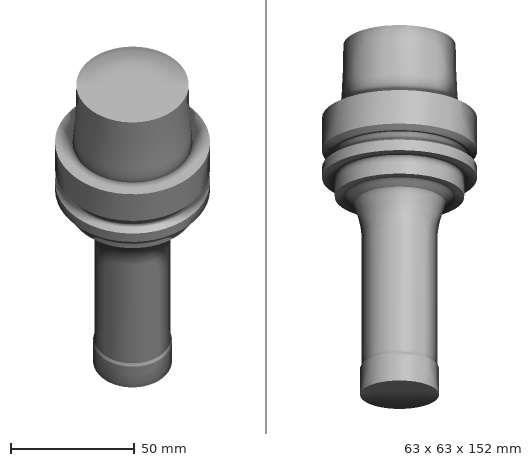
import cadquery as cq

collar_radius = 32.0 / 2
shank_radius = 30.9 / 2
flare_mid_radius = 16.5
flare_top_radius = 18.7
cone_top_radius = 22.2
hub_radius = 52.6 / 2
flange_radius = 63.0 / 2
groove_radius = 55.0 / 2
groove_lip_radius = 28.9
spigot_base_radius = 24.3
spigot_top_radius = 22.8

collar_edge_z = 11.4
shank_bottom_z = 12.8
flare_bottom_z = 67.8
flare_mid_z = 76.5
flare_top_z = 83.3
hub_bottom_z = 86.0
flange_bottom_z = 94.2
groove_lower_edge_z = 98.8
groove_bottom_z = 100.3
groove_top_z = 104.0
groove_upper_edge_z = 105.8
flange_top_z = 120.4
total_height = 152.0


def make_shank():
    """Bottom collar, slim shank and the two-arc flare leading into a cone."""
    profile = (
        cq.Workplane("XZ")
        .lineTo(collar_radius, 0)
        .lineTo(collar_radius, collar_edge_z)
        .lineTo(shank_radius, shank_bottom_z)
        .lineTo(shank_radius, flare_bottom_z)
        .tangentArcPoint((flare_mid_radius, flare_mid_z), relative=False)
        .tangentArcPoint((flare_top_radius, flare_top_z), relative=False)
        .lineTo(cone_top_radius, hub_bottom_z)
        .lineTo(0, hub_bottom_z)
        .close()
    )
    return profile.revolve(360, (0, 0, 0), (0, 1, 0))


def make_flange():
    """Hub and flange, with a chamfer-lipped groove around the flange."""
    profile = (
        cq.Workplane("XZ")
        .moveTo(0, hub_bottom_z)
        .lineTo(hub_radius, hub_bottom_z)
        .lineTo(hub_radius, flange_bottom_z)
        .lineTo(flange_radius, flange_bottom_z)
        .lineTo(flange_radius, groove_lower_edge_z)
        .lineTo(groove_lip_radius, groove_bottom_z)
        .lineTo(groove_radius, groove_bottom_z)
        .lineTo(groove_radius, groove_top_z)
        .lineTo(groove_lip_radius, groove_top_z)
        .lineTo(flange_radius, groove_upper_edge_z)
        .lineTo(flange_radius, flange_top_z)
        .lineTo(0, flange_top_z)
        .close()
    )
    return profile.revolve(360, (0, 0, 0), (0, 1, 0))


def make_spigot():
    """Spigot whose curved side is vertical at the top and flares downward."""
    flare = spigot_base_radius - spigot_top_radius
    height = total_height - flange_top_z
    arc_radius = (height**2 + flare**2) / (2 * flare)
    profile = (
        cq.Workplane("XZ")
        .moveTo(0, flange_top_z)
        .lineTo(0, total_height)
        .lineTo(spigot_top_radius, total_height)
        .radiusArc((spigot_base_radius, flange_top_z), -arc_radius)
        .close()
    )
    return profile.revolve(360, (0, 0, 0), (0, 1, 0))


result = make_shank().union(make_flange()).union(make_spigot())